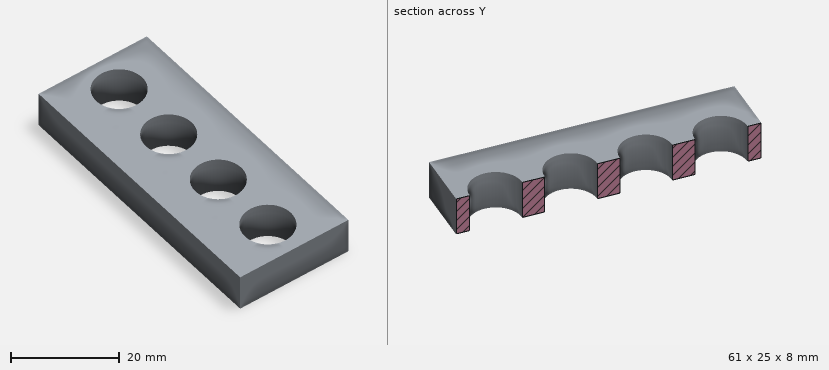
import cadquery as cq

length = 61.0
width = 25.0
thickness = 8.0

hole_count = 4
hole_diameter = 10.5
hole_pitch = 15.0

plate = cq.Workplane("XY").box(length, width, thickness)

result = (
    plate.faces(">Z")
    .workplane()
    .rarray(hole_pitch, width, hole_count, 1)
    .hole(hole_diameter)
)